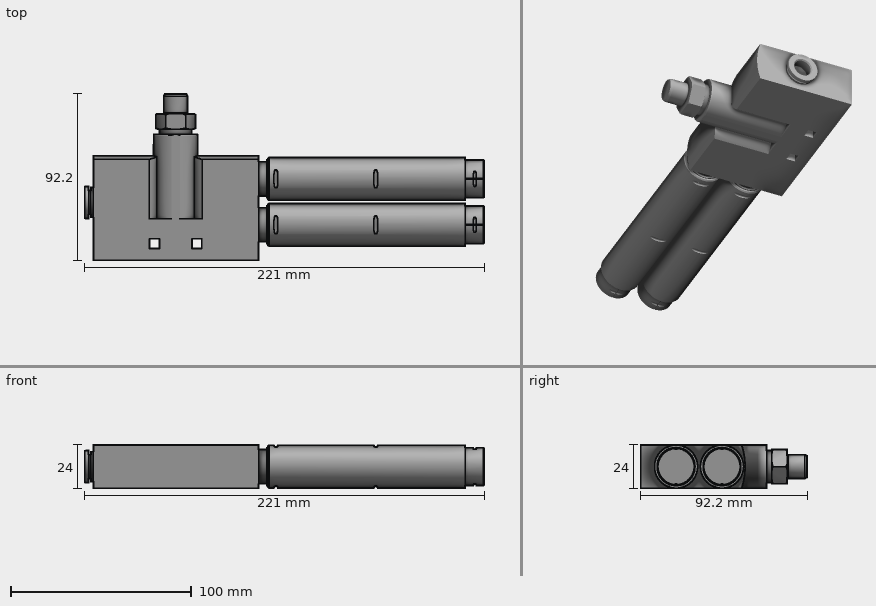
import cadquery as cq


block_length = 91.5
block_height = 24.0
block_depth = 58.0
back_bow = 2.0
top_z = block_height / 2

square_side = 5.3
square_y = 9.3
square_spacing = 23.5

port_x = 45.5
barrel_diameter = 24.5
barrel_end_y = 69.8
barrel_chamfer = 0.7

groove_start_y = 23.0
groove_half_width = 14.5
wall_middle = (12.4, 10.0)
wall_foot = (10.2, 6.0)

neck_diameter = 18.0
nut_start_y = 72.5
nut_end_y = 81.0
nut_across_corners = 22.0
nut_inner_bevel_diameter = 19.0
nut_outer_bevel_diameter = 20.8
nut_bevel = 0.7
stud_diameter = 13.3
stud_root_diameter = 12.0
stud_relief = 0.7
stud_chamfer = 1.3
stud_end_y = 92.2

fitting_y = 32.0
fitting_reach = 4.9
fitting_base_diameter = 16.5
fitting_base_length = 1.3
fitting_neck_diameter = 13.3
flange_diameter = 18.0
flange_front_diameter = 17.5
flange_length = 2.2
flange_taper = 0.9
bore_diameter = 10.0
bore_mouth_diameter = 11.3
bore_depth = 6.2

silencer_ys = (19.7, 45.0)
collar_diameter = 19.0
collar_length = 4.5
ring_diameter = 21.0
ring_length = 0.7
tube_diameter = 23.9
tube_chamfer = 0.7
tube_end = 114.3
cap_diameter = 21.0
overall_length = 221.0
cap_end = overall_length - fitting_reach - block_length
cap_chamfer = 0.5
tube_notches = (9.5, 64.8)
tube_notch_radius = 1.0
cap_notch = 119.5
cap_notch_radius = 0.9
slit_width = 0.7
slit_depth = 0.9


def turned_along_x(profile, y):
    """Solid of revolution about the line z = 0 at the given y; profile holds (x, radius)."""
    outline = [(profile[0][0], 0)] + profile + [(profile[-1][0], 0)]
    return cq.Workplane("XY").polyline(outline).close().revolve(360, (0, 0), (1, 0)).translate((0, y, 0))


def turned_along_y(profile):
    """Solid of revolution about the port axis; profile holds (radius, y)."""
    outline = [(0, profile[0][1])] + profile + [(0, profile[-1][1])]
    return cq.Workplane("XY").polyline(outline).close().revolve(360, (0, 0), (0, 1)).translate((port_x, 0, 0))


def make_block():
    corner_y = block_depth - back_bow
    return (
        cq.Workplane("YZ")
        .moveTo(0, -top_z)
        .lineTo(corner_y, -top_z)
        .threePointArc((block_depth, 0), (corner_y, top_z))
        .lineTo(0, top_z)
        .close()
        .extrude(block_length)
    )


def make_barrel():
    radius = barrel_diameter / 2
    tip_radius = top_z
    barrel = turned_along_y(
        [(radius, groove_start_y), (radius, barrel_end_y - barrel_chamfer), (tip_radius, barrel_end_y)]
    )
    trim = cq.Workplane("XY").box(barrel_diameter, 2 * barrel_end_y, block_height).translate((port_x, 0, 0))
    return barrel.intersect(trim)


def make_groove_cutter():
    """Material beside the barrel, above and below, before the barrel itself is put back."""
    right_top = (
        cq.Workplane("XZ", origin=(port_x, groove_start_y, 0))
        .moveTo(0, wall_foot[1])
        .lineTo(*wall_foot)
        .threePointArc(wall_middle, (groove_half_width, top_z))
        .lineTo(0, top_z)
        .close()
        .extrude(groove_start_y - block_depth)
    )
    top = right_top.union(right_top.mirror("YZ", (port_x, 0, 0)))
    return top.union(top.mirror("XY"))


def make_square_holes():
    return (
        cq.Workplane("XY")
        .pushPoints([(port_x + side * square_spacing / 2, square_y) for side in (-1, 1)])
        .rect(square_side, square_side)
        .extrude(top_z, both=True)
    )


def make_nut():
    corner_radius = nut_across_corners / 2
    prism = (
        cq.Workplane("XZ", origin=(port_x, nut_start_y, 0))
        .polygon(6, nut_across_corners)
        .extrude(nut_start_y - nut_end_y)
    )
    turned_envelope = turned_along_y(
        [
            (nut_inner_bevel_diameter / 2, nut_start_y),
            (corner_radius, nut_start_y + nut_bevel),
            (corner_radius, nut_end_y - nut_bevel),
            (nut_outer_bevel_diameter / 2, nut_end_y),
        ]
    )
    return prism.intersect(turned_envelope)


def make_neck_and_stud():
    neck_radius = neck_diameter / 2
    stud_radius = stud_diameter / 2
    root_radius = stud_root_diameter / 2
    return turned_along_y(
        [
            (neck_radius, groove_start_y),
            (neck_radius, nut_start_y),
            (root_radius, nut_start_y),
            (root_radius, nut_end_y),
            (stud_radius, nut_end_y + stud_relief),
            (stud_radius, stud_end_y - stud_chamfer),
            (root_radius, stud_end_y),
        ]
    )


def make_fitting():
    base_radius = fitting_base_diameter / 2
    neck_radius = fitting_neck_diameter / 2
    flange_radius = flange_diameter / 2
    flange_back = flange_length - fitting_reach
    return turned_along_x(
        [
            (-fitting_reach, flange_front_diameter / 2),
            (flange_taper - fitting_reach, flange_radius),
            (flange_back, flange_radius),
            (flange_back, neck_radius),
            (-fitting_base_length, neck_radius),
            (-fitting_base_length, base_radius),
            (0, base_radius),
        ],
        fitting_y,
    )


def make_fitting_bore():
    bore_radius = bore_diameter / 2
    mouth_radius = bore_mouth_diameter / 2
    mouth_depth = mouth_radius - bore_radius
    return turned_along_x(
        [
            (-fitting_reach, mouth_radius),
            (mouth_depth - fitting_reach, bore_radius),
            (bore_depth - fitting_reach, bore_radius),
        ],
        fitting_y,
    )


def make_notch(x, y, surface_radius, notch_radius):
    """Round-bottomed notches across the top and bottom of a silencer."""
    return (
        cq.Workplane("XZ", origin=(block_length, y, 0))
        .pushPoints([(x, surface_radius), (x, -surface_radius)])
        .circle(notch_radius)
        .extrude(surface_radius, both=True)
    )


def make_cap_slits(y):
    """Narrow slits along the top and bottom of a silencer's end cap."""
    slit_length = cap_end - tube_end
    slit_x = block_length + (cap_end + tube_end) / 2
    core_height = cap_diameter - 2 * slit_depth
    blade = cq.Workplane("XY").box(slit_length, slit_width, cap_diameter)
    core = cq.Workplane("XY").box(slit_length, slit_width, core_height)
    return blade.cut(core).translate((slit_x, y, 0))


def make_silencer(y):
    collar_radius = collar_diameter / 2
    ring_radius = ring_diameter / 2
    tube_radius = tube_diameter / 2
    cap_radius = cap_diameter / 2
    tube_start = collar_length + ring_length
    silencer = turned_along_x(
        [
            (0, collar_radius),
            (collar_length, collar_radius),
            (collar_length, ring_radius),
            (tube_start, ring_radius),
            (tube_start, tube_radius - tube_chamfer),
            (tube_start + tube_chamfer, tube_radius),
            (tube_end, tube_radius),
            (tube_end, cap_radius),
            (cap_end - cap_chamfer, cap_radius),
            (cap_end, cap_radius - cap_chamfer),
        ],
        y,
    ).translate((block_length, 0, 0))
    for x in tube_notches:
        silencer = silencer.cut(make_notch(x, y, tube_radius, tube_notch_radius))
    silencer = silencer.cut(make_notch(cap_notch, y, cap_radius, cap_notch_radius))
    return silencer.cut(make_cap_slits(y))


result = make_block().cut(make_groove_cutter()).cut(make_square_holes())
for feature in (make_barrel(), make_neck_and_stud(), make_nut(), make_fitting()):
    result = result.union(feature)
result = result.cut(make_fitting_bore())
for silencer_y in silencer_ys:
    result = result.union(make_silencer(silencer_y))